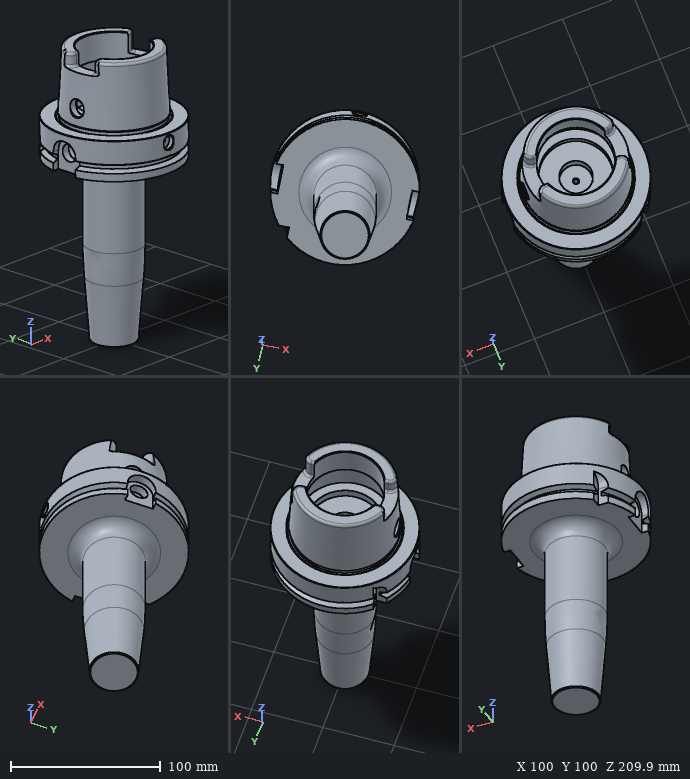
import cadquery as cq
import math


shank_length = 49.9
gauge_radius = 37.5
gauge_height = 6.3
taper_slope = 0.05
lug_edge_radius = 2.0
relief_height = 2.5
relief_neck_radius = 37.0
relief_rim_radius = 39.5
relief_rim_drop = 1.0

flange_radius = 50.0
flange_width = 29.0
flange_chamfer = 0.35
groove_centre_z = -20.1
groove_mouth_width = 6.4
groove_floor_width = 2.6
groove_floor_radius = 46.0

reach = 160.0
neck_radius = 21.0
neck_fillet = 10.0
neck_end_z = -91.0
nose_blend_radius = 300.0
nose_angle = math.radians(4.5)
nose_chamfer = 0.8

bore_radius = 26.3
bore_mouth_chamfer = 0.6
bore_lip_depth = 20.0
clamp_groove_radius = 31.5
clamp_groove_floor_z = 8.2
bore_floor_radius = 25.0
bore_floor_z = 2.0
tube_bore_radius = 11.3
tube_bore_depth = 10.0
coolant_hole_radius = 1.6
coolant_hole_chamfer = 0.5
coolant_hole_depth = 12.0

drive_half_width = 9.7
drive_corner_radius = 5.0
drive_corner_x = 27.0
drive_floor_fillet = 1.8
drive_depth_minus_x = 9.9
drive_depth_plus_x = 14.9

cross_hole_radius = 6.25
cross_hole_z = 15.0
cross_hole_chamfer = 0.5

key_half_width = 10.0
key_floor_x = 44.0
key_centre_z = -15.1
dimple_radius = 6.25
dimple_depth = 6.0
drill_point_angle = math.radians(59)
notch_floor_x = 31.8
notch_wall_y = 31.2
notch_radius = key_half_width
notch_centre_z = -15.4

rim_hole_radius = 4.7
rim_hole_mouth_radius = 5.4
rim_hole_z = -7.1
rim_hole_floor_y = 46.0
rim_pin_hole_radius = 0.4
rim_pin_hole_depth = 1.0

margin = 10.0


def taper_radius(z):
    """Outer radius of the shank taper at height z."""
    return gauge_radius - (z - gauge_height) * taper_slope


def make_body():
    """Revolved outer form: shank, flange, neck and nose."""
    groove_half_mouth = groove_mouth_width / 2
    groove_half_floor = groove_floor_width / 2
    half_angle = nose_angle / 2
    blend_mid_r = neck_radius - nose_blend_radius * (1 - math.cos(half_angle))
    blend_mid_z = neck_end_z - nose_blend_radius * math.sin(half_angle)
    blend_end_r = neck_radius - nose_blend_radius * (1 - math.cos(nose_angle))
    blend_end_z = neck_end_z - nose_blend_radius * math.sin(nose_angle)
    nose_side_z = -reach + nose_chamfer
    nose_side_r = blend_end_r - (blend_end_z - nose_side_z) * math.tan(nose_angle)
    fillet_mid = neck_fillet * (1 - math.sqrt(0.5))
    outline = (
        cq.Workplane("XZ")
        .moveTo(0, shank_length)
        .lineTo(taper_radius(shank_length), shank_length)
        .lineTo(taper_radius(relief_height), relief_height)
        .lineTo(relief_neck_radius, relief_height - relief_rim_drop)
        .lineTo(relief_neck_radius, -relief_rim_drop)
        .lineTo(relief_rim_radius - relief_rim_drop, -relief_rim_drop)
        .lineTo(relief_rim_radius, 0)
        .lineTo(flange_radius - flange_chamfer, 0)
        .lineTo(flange_radius, -flange_chamfer)
        .lineTo(flange_radius, groove_centre_z + groove_half_mouth)
        .lineTo(groove_floor_radius, groove_centre_z + groove_half_floor)
        .lineTo(groove_floor_radius, groove_centre_z - groove_half_floor)
        .lineTo(flange_radius, groove_centre_z - groove_half_mouth)
        .lineTo(flange_radius, -flange_width)
        .lineTo(neck_radius + neck_fillet, -flange_width)
        .threePointArc(
            (neck_radius + fillet_mid, -flange_width - fillet_mid),
            (neck_radius, -flange_width - neck_fillet),
        )
        .lineTo(neck_radius, neck_end_z)
        .threePointArc((blend_mid_r, blend_mid_z), (blend_end_r, blend_end_z))
        .lineTo(nose_side_r, nose_side_z)
        .lineTo(nose_side_r - nose_chamfer, -reach)
        .lineTo(0, -reach)
        .close()
    )
    return outline.revolve(360, (0, 0, 0), (0, 1, 0))


def make_bore():
    """Bore in the shank with its clamping groove, and the coolant tube bore below its floor."""
    lip_z = shank_length - bore_lip_depth
    tube_floor_z = bore_floor_z - tube_bore_depth
    outline = (
        cq.Workplane("XZ")
        .moveTo(0, shank_length)
        .lineTo(bore_radius + bore_mouth_chamfer, shank_length)
        .lineTo(bore_radius, shank_length - bore_mouth_chamfer)
        .lineTo(bore_radius, lip_z)
        .lineTo(clamp_groove_radius, lip_z)
        .lineTo(clamp_groove_radius, clamp_groove_floor_z)
        .lineTo(bore_floor_radius, clamp_groove_floor_z)
        .lineTo(bore_floor_radius, bore_floor_z)
        .lineTo(tube_bore_radius, bore_floor_z)
        .lineTo(tube_bore_radius, tube_floor_z)
        .lineTo(coolant_hole_radius + coolant_hole_chamfer, tube_floor_z)
        .lineTo(coolant_hole_radius, tube_floor_z - coolant_hole_chamfer)
        .lineTo(coolant_hole_radius, tube_floor_z - coolant_hole_depth)
        .lineTo(0, tube_floor_z - coolant_hole_depth)
        .close()
    )
    return outline.revolve(360, (0, 0, 0), (0, 1, 0))


def make_drive_slot(depth, side):
    """Drive slot cutter opening towards side * X, flared where the lug ends are rounded."""
    flare_y = drive_half_width + drive_corner_radius
    flare_x = drive_corner_x + drive_corner_radius
    mid_x = drive_corner_x + drive_corner_radius * math.sqrt(0.5)
    mid_y = flare_y - drive_corner_radius * math.sqrt(0.5)
    outer_x = flare_x + margin
    cutter = (
        cq.Workplane("XY", origin=(0, 0, shank_length - depth))
        .moveTo(0, -drive_half_width)
        .lineTo(drive_corner_x, -drive_half_width)
        .threePointArc((mid_x, -mid_y), (flare_x, -flare_y))
        .lineTo(flare_x, -flare_y - margin)
        .lineTo(outer_x, -flare_y - margin)
        .lineTo(outer_x, flare_y + margin)
        .lineTo(flare_x, flare_y + margin)
        .lineTo(flare_x, flare_y)
        .threePointArc((mid_x, mid_y), (drive_corner_x, drive_half_width))
        .lineTo(0, drive_half_width)
        .close()
        .extrude(depth + margin)
    )
    wall_feet = cq.selectors.BoxSelector(
        (1, -flare_y - 1, shank_length - depth - 1),
        (flare_x + 1, flare_y + 1, shank_length - depth + 1),
    )
    cutter = cutter.edges("<Z").edges(wall_feet).fillet(drive_floor_fillet)
    if side < 0:
        cutter = cutter.mirror("YZ")
    return cutter


def round_lug_edges(body):
    """Round the top edges of the two lugs, all but the rim of the bore."""
    top_edges = cq.selectors.StringSyntaxSelector("#Z or %CIRCLE")
    near_bore = cq.selectors.BoxSelector(
        (-1, -bore_radius, 0),
        (1, bore_radius, shank_length + 1),
    )
    return body.faces(">Z").edges(top_edges - near_bore).fillet(lug_edge_radius)


def make_cross_hole():
    """Hole along X through both walls of the shank, flared at its two rims."""
    rim_x = taper_radius(cross_hole_z)
    rim_radius = cross_hole_radius + cross_hole_chamfer
    end_x = rim_x + margin
    outline = (
        cq.Workplane("XY", origin=(0, 0, cross_hole_z))
        .moveTo(-end_x, 0)
        .lineTo(-end_x, rim_radius)
        .lineTo(-rim_x, rim_radius)
        .lineTo(-rim_x + cross_hole_chamfer, cross_hole_radius)
        .lineTo(rim_x - cross_hole_chamfer, cross_hole_radius)
        .lineTo(rim_x, rim_radius)
        .lineTo(end_x, rim_radius)
        .lineTo(end_x, 0)
        .close()
    )
    return outline.revolve(360, (0, 0, 0), (1, 0, 0))


def make_key_slot(side):
    """Round-topped key slot in the flange on side * X, with its drilled dimple."""
    wall_foot = -flange_width - margin
    slot = (
        cq.Workplane("YZ", origin=(side * key_floor_x, 0, 0))
        .moveTo(-key_half_width, wall_foot)
        .lineTo(-key_half_width, key_centre_z)
        .threePointArc((0, key_centre_z + key_half_width), (key_half_width, key_centre_z))
        .lineTo(key_half_width, wall_foot)
        .close()
        .extrude(side * margin)
    )
    inward = cq.Vector(-side, 0, 0)
    dimple_start = cq.Vector(side * key_floor_x, 0, key_centre_z)
    dimple = cq.Solid.makeCylinder(dimple_radius, dimple_depth, dimple_start, inward)
    point = cq.Solid.makeCone(
        dimple_radius,
        0,
        dimple_radius / math.tan(drill_point_angle),
        dimple_start + inward * dimple_depth,
        inward,
    )
    return slot.union(cq.Workplane(dimple)).union(cq.Workplane(point))


def make_notch():
    """Orientation notch in the flange rim between -X and +Y."""
    wall_foot = -flange_width - margin
    centre_y = notch_wall_y + notch_radius
    return (
        cq.Workplane("YZ", origin=(-notch_floor_x, 0, 0))
        .moveTo(notch_wall_y, wall_foot)
        .lineTo(notch_wall_y, notch_centre_z)
        .threePointArc(
            (centre_y, notch_centre_z + notch_radius),
            (centre_y + notch_radius, notch_centre_z),
        )
        .lineTo(centre_y + notch_radius, wall_foot)
        .close()
        .extrude(-flange_radius)
    )


def make_rim_hole():
    """Chamfered blind hole in the flange rim on the -Y side, with a pin hole in its floor."""
    mouth_step = rim_hole_mouth_radius - rim_hole_radius
    inner_y = -rim_hole_floor_y + rim_pin_hole_depth
    outline = (
        cq.Workplane("XY", origin=(0, 0, rim_hole_z))
        .moveTo(0, inner_y)
        .lineTo(rim_pin_hole_radius, inner_y)
        .lineTo(rim_pin_hole_radius, -rim_hole_floor_y)
        .lineTo(rim_hole_radius, -rim_hole_floor_y)
        .lineTo(rim_hole_radius, -flange_radius + mouth_step)
        .lineTo(rim_hole_mouth_radius, -flange_radius)
        .lineTo(rim_hole_mouth_radius, -flange_radius - margin)
        .lineTo(0, -flange_radius - margin)
        .close()
    )
    return outline.revolve(360, (0, 0, 0), (0, 1, 0))


body = make_body().cut(make_bore())
body = body.cut(make_cross_hole())
body = body.cut(make_drive_slot(drive_depth_minus_x, -1))
body = body.cut(make_drive_slot(drive_depth_plus_x, 1))
body = round_lug_edges(body)
for side in (-1, 1):
    body = body.cut(make_key_slot(side))
result = body.cut(make_notch()).cut(make_rim_hole())